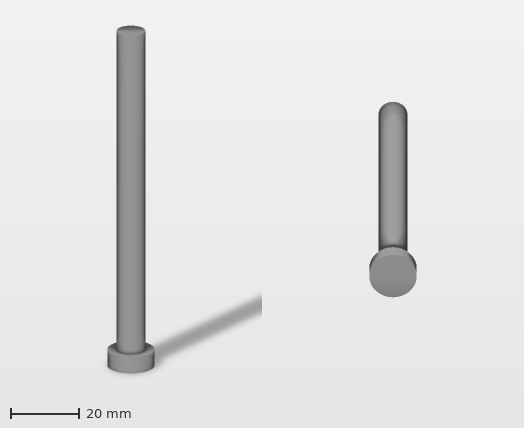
import cadquery as cq

total_length = 105.0
head_diameter = 14.0
head_height = 5.0
shank_diameter = 8.5

shank_length = total_length - head_height

head = cq.Workplane("XY").circle(head_diameter / 2).extrude(head_height)

result = head.faces(">Z").workplane().circle(shank_diameter / 2).extrude(shank_length)